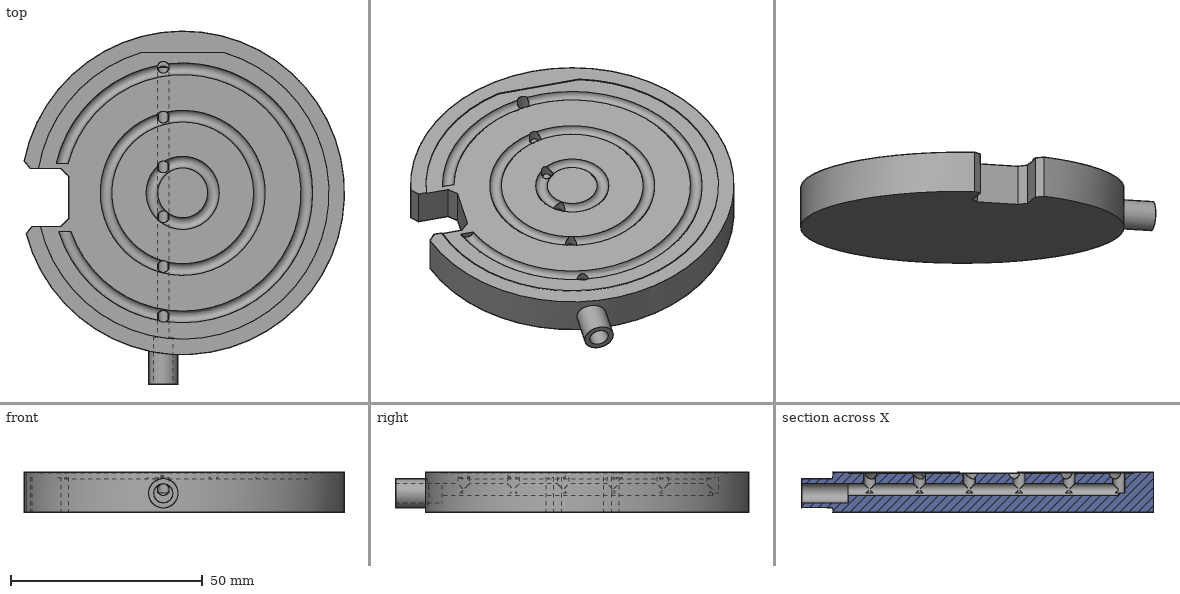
import cadquery as cq
import math

disc_radius = 42.2
disc_height = 10.5

recess_radius = 38.2
recess_flat_y = 36.6
recess_depth = 0.3
floor_z = disc_height - recess_depth

notch_floor_x = -29.8
notch_width = 15.0
notch_center_y = -1.2
notch_chamfer = 2.0

channel_diameter = 3.0
channel_radius = channel_diameter / 2
groove_radii = [8.0, 20.0, 32.4]
groove_notch_margin = 1.4

feed_x = -5.1
feed_pitch = 13.0
feed_count = 6
feed_bottom_z = 5.1
feed_center_y = 0.3
first_feed_y = feed_center_y - feed_pitch * (feed_count - 1) / 2
last_feed_y = first_feed_y + feed_pitch * (feed_count - 1)

stub_diameter = 7.65
stub_bore_diameter = 5.0
stub_z = 5.0
stub_end_y = disc_radius - 92.2
stub_root_y = -37.8
supply_z = stub_z + (stub_bore_diameter - channel_diameter) / 2

supply_end_y = last_feed_y - 0.1
drill_point_length = 0.9


def cylinder_along_y(diameter, z, start_y, end_y):
    """Cylinder in line with the feed holes, between two Y positions."""
    axis_start = cq.Vector(feed_x, start_y, z)
    solid = cq.Solid.makeCylinder(diameter / 2, end_y - start_y, axis_start, cq.Vector(0, 1, 0))
    return cq.Workplane(obj=solid)


def block(x_min, x_max, y_min, y_max, z_min, z_max):
    """Box given by its limits on each axis."""
    box = cq.Workplane().box(x_max - x_min, y_max - y_min, z_max - z_min, centered=False)
    return box.translate((x_min, y_min, z_min))


def notched_disc():
    """Disc with the side notch, chamfered at its mouth and inner corners."""
    disc = cq.Workplane().circle(disc_radius).extrude(disc_height)
    half_width = notch_width / 2
    notch = block(
        -2 * disc_radius, notch_floor_x,
        notch_center_y - half_width, notch_center_y + half_width,
        0, disc_height,
    )
    notch_edges = cq.selectors.BoxSelector(
        (-disc_radius, notch_center_y - notch_width, -0.9),
        (notch_floor_x + 0.9, notch_center_y + notch_width, disc_height + 0.9),
    )
    return disc.cut(notch).edges("|Z").edges(notch_edges).chamfer(notch_chamfer)


def top_recess():
    """Shallow circular pocket, cut straight on its +Y side."""
    pocket = cq.Workplane().workplane(offset=floor_z).circle(recess_radius).extrude(recess_depth)
    inside_flat = block(
        -disc_radius, disc_radius, -disc_radius, recess_flat_y, floor_z, disc_height
    )
    return pocket.intersect(inside_flat)


def ring_groove(radius):
    """Half-round ring groove, interrupted where it would meet the notch."""
    corner = channel_radius * math.sqrt(0.5)
    profile = (
        cq.Workplane("XZ")
        .moveTo(radius - channel_radius, floor_z)
        .threePointArc((radius - corner, floor_z - corner), (radius, floor_z - channel_radius))
        .threePointArc((radius + corner, floor_z - corner), (radius + channel_radius, floor_z))
        .close()
    )
    ring = profile.revolve(360, (0, 0, 0), (0, 1, 0))
    half_gap = notch_width / 2 + groove_notch_margin
    gap = block(
        -disc_radius, notch_floor_x + groove_notch_margin,
        notch_center_y - half_gap, notch_center_y + half_gap,
        0, 2 * disc_height,
    )
    return ring.cut(gap)


def supply_bore():
    """Bore from the stub to the last feed hole, ending in a drill-point cone."""
    profile = (
        cq.Workplane()
        .moveTo(feed_x, stub_root_y)
        .lineTo(feed_x + channel_radius, stub_root_y)
        .lineTo(feed_x + channel_radius, supply_end_y)
        .lineTo(feed_x, supply_end_y + drill_point_length)
        .close()
    )
    bore = profile.revolve(360, (feed_x, 0, 0), (feed_x, 1, 0))
    return bore.translate((0, 0, supply_z))


stub = cylinder_along_y(stub_diameter, stub_z, stub_end_y, stub_root_y)
result = notched_disc().union(stub)
result = result.cut(top_recess())

for groove_radius in groove_radii:
    result = result.cut(ring_groove(groove_radius))

for index in range(feed_count):
    feed_y = first_feed_y + index * feed_pitch
    feed_start = cq.Workplane().workplane(offset=feed_bottom_z).center(feed_x, feed_y)
    result = result.cut(feed_start.circle(channel_radius).extrude(disc_height - feed_bottom_z))

result = result.cut(cylinder_along_y(stub_bore_diameter, stub_z, stub_end_y, stub_root_y))
result = result.cut(supply_bore())